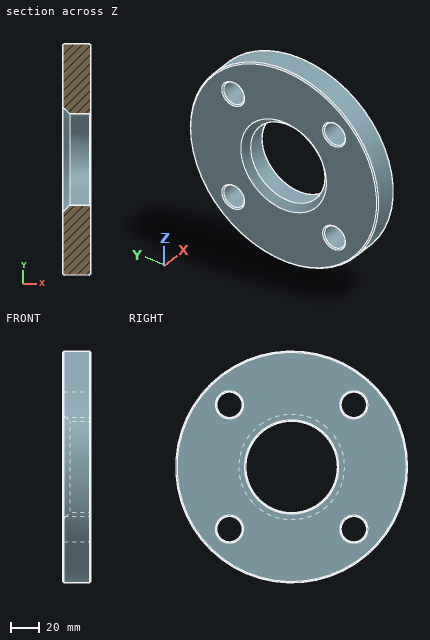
import cadquery as cq

flange_diameter = 165.0
thickness = 20.0
rim_chamfer = 1.0

bore_diameter = 65.0
countersink_diameter = 75.0
countersink_depth = (countersink_diameter - bore_diameter) / 2
bore_back_chamfer = 1.0

bolt_hole_diameter = 18.0
bolt_circle_diameter = 125.0
bolt_count = 4
first_bolt_angle = 45.0
bolt_hole_chamfer = 1.0


def make_disc():
    """Plain disc from X = 0 to X = thickness, chamfered on both rims."""
    disc = cq.Workplane("YZ").circle(flange_diameter / 2).extrude(thickness)
    return disc.edges().chamfer(rim_chamfer)


def make_bore_cutter():
    """Half profile of the bore, its countersink and its back chamfer, revolved about X."""
    bore_radius = bore_diameter / 2
    return (
        cq.Workplane("XY")
        .moveTo(0, 0)
        .lineTo(0, countersink_diameter / 2)
        .lineTo(countersink_depth, bore_radius)
        .lineTo(thickness - bore_back_chamfer, bore_radius)
        .lineTo(thickness, bore_radius + bore_back_chamfer)
        .lineTo(thickness, 0)
        .close()
        .revolve(360, (0, 0, 0), (1, 0, 0))
    )


def make_bolt_hole_cutter(angle):
    """Through hole at an angle about X that widens in a small chamfer at both faces."""
    hole_radius = bolt_hole_diameter / 2
    mouth_radius = hole_radius + bolt_hole_chamfer
    cutter = (
        cq.Workplane("XY")
        .moveTo(0, 0)
        .lineTo(0, mouth_radius)
        .lineTo(bolt_hole_chamfer, hole_radius)
        .lineTo(thickness - bolt_hole_chamfer, hole_radius)
        .lineTo(thickness, mouth_radius)
        .lineTo(thickness, 0)
        .close()
        .revolve(360, (0, 0, 0), (1, 0, 0))
    )
    return cutter.translate((0, bolt_circle_diameter / 2, 0)).rotate((0, 0, 0), (1, 0, 0), angle)


result = make_disc().cut(make_bore_cutter())
for bolt in range(bolt_count):
    result = result.cut(make_bolt_hole_cutter(first_bolt_angle + bolt * 360 / bolt_count))